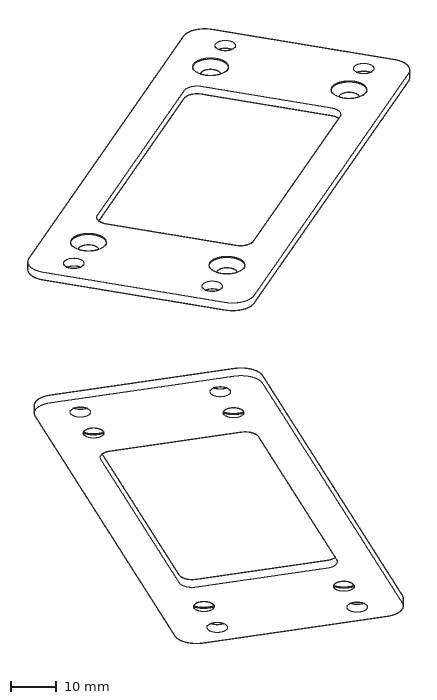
import cadquery as cq

length = 115.0
width = 52.0
thickness = 2.0
corner_radius = 5.0

window_width = 36.0
window_length = 65.0
window_corner_radius = 3.0

hole_diameter = 4.5
sink_diameter = 7.8
hole_spacing_x = 32.0
plain_spacing_y = 103.0
sunk_spacing_y = 83.0

cone_height = (sink_diameter - hole_diameter) / 2


def rounded_slab(size_x, size_y, radius):
    """Slab of plate thickness with rounded vertical edges, resting on Z = 0."""
    slab = cq.Workplane("XY").box(size_x, size_y, thickness, centered=(True, True, False))
    return slab.edges("|Z").fillet(radius)


def plain_hole():
    """Cutter for a straight through hole."""
    return cq.Workplane("XY").circle(hole_diameter / 2).extrude(thickness)


def sunk_hole():
    """Cutter for a countersunk hole: a cone widening upward to a straight rim."""
    half_profile = [
        (0, 0),
        (hole_diameter / 2, 0),
        (sink_diameter / 2, cone_height),
        (sink_diameter / 2, thickness),
        (0, thickness),
    ]
    return cq.Workplane("XZ").polyline(half_profile).close().revolve(360, (0, 0), (0, 1))


def cut_four(plate, cutter, spacing_y):
    """Cut the same hole at the four corners of a centered rectangle."""
    for side_x in (-1, 1):
        for side_y in (-1, 1):
            center = (side_x * hole_spacing_x / 2, side_y * spacing_y / 2, 0)
            plate = plate.cut(cutter.translate(center))
    return plate


plate = rounded_slab(width, length, corner_radius)
plate = plate.cut(rounded_slab(window_width, window_length, window_corner_radius))
plate = cut_four(plate, plain_hole(), plain_spacing_y)
result = cut_four(plate, sunk_hole(), sunk_spacing_y)